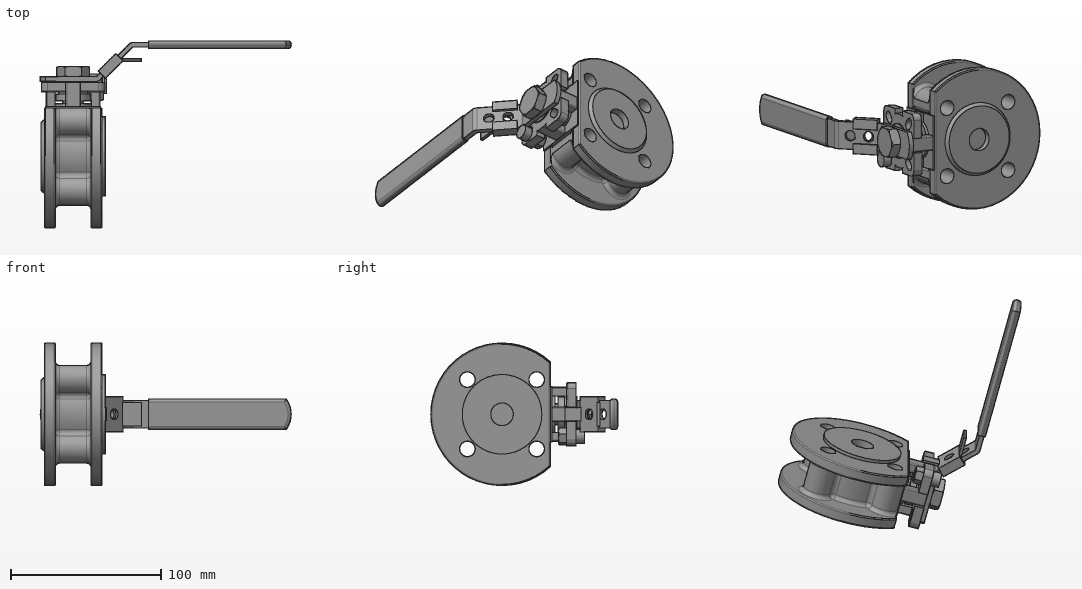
import cadquery as cq
import math


flange_radius = 47.4
flange_inner_x = 11.9
flange_outer_x = 19.2
flange_edge_fillet = 0.8
flat_y = 32.2
face_x = 21.4
front_face_diameter = 49.2
front_face_rim_diameter = 45.4
back_face_diameter = 53.0
bore_diameter = 15.0
bore_depth = 5.0
bolt_offset = 23.0
bolt_hole_diameter = 10.2
lug_radius = 9.5
body_radius = 27.5
lug_fillet = 3.3
root_fillet = 2.8

pad_half_size = 18.4
pad_top_y = 33.2
pad_root_y = 16.7
rib_outer = 18.0
rib_thickness = 6.0
rib_width = 9.8
rib_edge_fillet = 0.8
plate_bottom_y = 42.9
plate_top_y = 49.2
plate_size = 42.0
plate_corner_radius = 4.0
plate_edge_fillet = 0.8
slot_width = 6.0
slot_inner_offset = 12.7
slot_outer_offset = 14.7

gland_diameter = 26.0
gland_top_y = 35.2
stem_diameter = 14.0
collar_diameter = 23.4
collar_bottom_y = 37.0
collar_top_y = 41.4
gland_nut_flats = 19.4
stem_nut_flats = 19.0
stem_nut_height = 6.8
nut_chamfer_height = 0.7

screw_head_diameter = 9.7
screw_head_top_y = 55.0
screw_nut_flats = 10.0
screw_nut_bottom_y = 37.4
screw_nut_turn = -15.0

lever_bottom_y = 49.9
lever_thickness = 3.2
lever_width = 18.5
lever_end_x = -21.9
lever_end_sagitta = 3.3
lever_rise = 22.9
bend_x = 16.2
bend_inner_radius = 1.0
grip_start_x = 50.2
grip_end_x = 145.0
grip_width = 20.5
grip_thickness = 5.2
grip_end_sagitta = 3.5
grip_edge_fillet = 2.2

sleeve_distance = 12.4
sleeve_length = 16.5
sleeve_thickness = 6.8
sleeve_width = 23.5
sleeve_slot_width = 10.0
lock_hole_diameter = 7.0
lever_hole_distances = (10.4, 23.2)
thumb_tab_end_x = 45.4
thumb_tab_bottom_y = 63.3
thumb_tab_thickness = 1.8
thumb_tab_width = 15.7
lock_tab_x = 20.5
lock_tab_thickness = 1.7
lock_tab_bottom_y = 41.7
lock_tab_width = 8.8

lever_top_y = lever_bottom_y + lever_thickness
lever_mid_y = lever_bottom_y + lever_thickness / 2
grip_mid_y = lever_mid_y + lever_rise
selection_margin = 0.2
bolt_points = [(y, z) for y in (-bolt_offset, bolt_offset) for z in (-bolt_offset, bolt_offset)]


def block(x0, x1, y0, y1, width):
    """Box between two X and two Y limits, centred on Z = 0."""
    box = cq.Workplane("XY").box(x1 - x0, y1 - y0, width)
    return box.translate(((x0 + x1) / 2, (y0 + y1) / 2, 0))


def along_x(x0):
    return cq.Workplane("YZ", origin=(x0, 0, 0))


def along_y(y0):
    """Plane at height y0; a negative extrusion goes up in Y."""
    return cq.Workplane("XZ", origin=(0, y0, 0))


def disc(diameter, y0, y1):
    return along_y(y0).circle(diameter / 2).extrude(y0 - y1)


def hexagon(flats, y0, y1, turn=0):
    corners = flats / math.cos(math.radians(30))
    return along_y(y0).polygon(6, corners).extrude(y0 - y1).rotate((0, 0, 0), (0, 1, 0), turn)


def nut_envelope(flats, y0, y1, chamfer_bottom, chamfer_top):
    """Round envelope that takes the corners off a hexagon nut."""
    corner_radius = flats / 2 / math.cos(math.radians(30))
    run = nut_chamfer_height * math.sqrt(3)
    envelope = along_y(y0).circle(corner_radius).extrude(y0 - y1)
    if chamfer_bottom:
        envelope = envelope.faces("<Y").chamfer(nut_chamfer_height, run)
    if chamfer_top:
        envelope = envelope.faces(">Y").chamfer(nut_chamfer_height, run)
    return envelope


def flange_blank(x0, x1):
    above_flat = block(x0 - 1.7, x1 + 1.7, flat_y, 2 * flange_radius, 3 * flange_radius)
    blank = along_x(x0).circle(flange_radius).extrude(x1 - x0).cut(above_flat)
    return blank.faces("<X or >X").edges().fillet(flange_edge_fillet)


def make_body():
    gap = 2 * flange_inner_x
    thickness = flange_outer_x - flange_inner_x

    core = along_x(-flange_inner_x).circle(body_radius).extrude(gap)
    lugs = along_x(-flange_inner_x).pushPoints(bolt_points).circle(lug_radius).extrude(gap)
    core = core.union(lugs).edges("|X").fillet(lug_fillet)
    for x0 in (-flange_outer_x, flange_inner_x):
        core = core.union(along_x(x0).circle(flange_radius).extrude(thickness))
    root_reach = flange_radius - selection_margin
    for x in (-flange_inner_x, flange_inner_x):
        roots = cq.selectors.BoxSelector(
            (x - selection_margin, -root_reach, -root_reach),
            (x + selection_margin, root_reach, root_reach),
            boundingbox=True)
        core = core.edges(roots).fillet(root_fillet)

    envelope = block(-flange_inner_x, flange_inner_x, -flange_radius, flat_y, 2 * flange_radius)
    envelope = envelope.union(flange_blank(-flange_outer_x, -flange_inner_x))
    envelope = envelope.union(flange_blank(flange_inner_x, flange_outer_x))
    body = core.intersect(envelope)

    face_height = face_x - flange_outer_x
    body = body.union(
        along_x(-flange_outer_x).circle(front_face_diameter / 2)
        .workplane(offset=-face_height).circle(front_face_rim_diameter / 2).loft())
    body = body.union(along_x(flange_outer_x).circle(back_face_diameter / 2).extrude(face_height))

    for x, depth in ((-face_x, bore_depth), (face_x, -bore_depth)):
        body = body.cut(along_x(x).circle(bore_diameter / 2).extrude(depth))
    return body


def make_bolt_holes():
    holes = along_x(-face_x).pushPoints(bolt_points).circle(bolt_hole_diameter / 2)
    return holes.extrude(2 * face_x)


def make_bracket():
    pad = block(-pad_half_size, pad_half_size, pad_root_y, pad_top_y, 2 * pad_half_size)
    plate = block(-plate_size / 2, plate_size / 2, plate_bottom_y, plate_top_y, plate_size)
    plate = plate.edges("|Y").fillet(plate_corner_radius)
    side_angles = (0, 90, 180, 270)
    corner_turn = 45
    slot_middle = (slot_inner_offset + slot_outer_offset) / 2 * math.sqrt(2)
    slot_length = (slot_outer_offset - slot_inner_offset) * math.sqrt(2) + slot_width
    notch = block(rib_outer - rib_edge_fillet, plate_size, plate_bottom_y, plate_top_y, rib_width)
    slot = along_y(plate_bottom_y).center(slot_middle, 0).slot2D(slot_length, slot_width)
    slot = slot.extrude(plate_bottom_y - plate_top_y)
    rib = block(rib_outer - rib_thickness, rib_outer, flat_y, plate_top_y, rib_width)
    rib = rib.faces(">X").edges("|Y").fillet(rib_edge_fillet)

    for angle in side_angles:
        plate = plate.cut(notch.rotate((0, 0, 0), (0, 1, 0), angle))

    rim_zone = cq.selectors.BoxSelector(
        (-plate_size, plate_bottom_y - selection_margin, rib_width / 2 - selection_margin),
        (plate_size, plate_bottom_y + selection_margin, plate_size))
    plate = plate.edges(rim_zone).fillet(plate_edge_fillet)

    bracket = pad.union(plate)
    for angle in side_angles:
        bracket = bracket.cut(slot.rotate((0, 0, 0), (0, 1, 0), angle + corner_turn))
        bracket = bracket.union(rib.rotate((0, 0, 0), (0, 1, 0), angle))
    return bracket


def make_stem():
    stem = disc(stem_diameter, flat_y, lever_top_y)
    stem = stem.union(disc(gland_diameter, flat_y, gland_top_y))
    stem = stem.union(disc(collar_diameter, collar_bottom_y, collar_top_y))
    stem = stem.union(hexagon(gland_nut_flats, collar_top_y, plate_bottom_y, 90))
    stem = stem.union(disc(collar_diameter, plate_top_y, lever_bottom_y))
    nut_top_y = lever_top_y + stem_nut_height
    nut = hexagon(stem_nut_flats, lever_top_y, nut_top_y)
    return stem.union(nut.intersect(nut_envelope(stem_nut_flats, lever_top_y, nut_top_y, True, True)))


def make_stop_screw():
    nut = hexagon(screw_nut_flats, screw_nut_bottom_y, plate_bottom_y, screw_nut_turn)
    nut = nut.intersect(nut_envelope(screw_nut_flats, screw_nut_bottom_y, plate_bottom_y, True, False))
    screw = disc(screw_head_diameter, plate_top_y, screw_head_top_y)
    screw = screw.union(disc(slot_width, plate_bottom_y, plate_top_y)).union(nut)
    return screw.translate((slot_outer_offset, 0, -slot_outer_offset))


def on_slope(shape, distance):
    """Move a shape made at the origin onto the 45 degree stretch, measured from the first bend."""
    run = distance / math.sqrt(2)
    return shape.rotate((0, 0, 0), (0, 0, 1), 45).translate((bend_x + run, lever_mid_y + run, 0))


def lock_hole(distance):
    drill = disc(lock_hole_diameter, -sleeve_thickness / 2, sleeve_thickness / 2)
    return on_slope(drill, distance)


def make_lever():
    half_width = lever_width / 2
    miter = lever_thickness * math.tan(math.radians(22.5))
    strip = (
        cq.Workplane("XY")
        .moveTo(lever_end_x, lever_bottom_y)
        .lineTo(bend_x + miter / 2, lever_bottom_y)
        .line(lever_rise, lever_rise)
        .lineTo(grip_start_x + 1.7, lever_bottom_y + lever_rise)
        .line(0, lever_thickness)
        .lineTo(bend_x + lever_rise - miter / 2, lever_top_y + lever_rise)
        .line(-lever_rise, -lever_rise)
        .lineTo(lever_end_x, lever_top_y)
        .close().extrude(half_width, both=True))
    bend_outer_radius = bend_inner_radius + lever_thickness
    inner_corners = (
        (bend_x - miter / 2, lever_top_y),
        (bend_x + lever_rise + miter / 2, lever_bottom_y + lever_rise))
    outer_corners = (
        (bend_x + miter / 2, lever_bottom_y),
        (bend_x + lever_rise - miter / 2, lever_top_y + lever_rise))
    for x, y in inner_corners:
        strip = strip.edges(cq.NearestToPointSelector((x, y, 0))).fillet(bend_inner_radius)
    for x, y in outer_corners:
        strip = strip.edges(cq.NearestToPointSelector((x, y, 0))).fillet(bend_outer_radius)
    tail = (
        along_y(lever_bottom_y)
        .moveTo(lever_end_x + lever_end_sagitta, -half_width)
        .threePointArc((lever_end_x, 0), (lever_end_x + lever_end_sagitta, half_width))
        .lineTo(2 * grip_start_x, half_width)
        .lineTo(2 * grip_start_x, -half_width)
        .close().extrude(-2 * lever_rise))
    lever = strip.intersect(tail)

    for distance in lever_hole_distances:
        lever = lever.cut(lock_hole(distance))
    return lever


def make_grip():
    half_width = grip_width / 2
    corner_x = grip_end_x - grip_end_sagitta
    bottom_y = grip_mid_y - grip_thickness / 2
    grip = (
        along_y(bottom_y)
        .moveTo(grip_start_x, -half_width)
        .lineTo(corner_x, -half_width)
        .threePointArc((grip_end_x, 0), (corner_x, half_width))
        .lineTo(grip_start_x, half_width)
        .close().extrude(-grip_thickness))
    return grip.faces("<Y or >Y").edges("not <X").fillet(grip_edge_fillet)


def make_sleeve():
    half_length = sleeve_length / 2
    half_thickness = sleeve_thickness / 2
    sleeve = block(-half_length, half_length, -half_thickness, half_thickness, sleeve_width)
    slot = block(-half_length, half_length, lever_thickness / 2, half_thickness, sleeve_slot_width)
    passage = block(
        -half_length, half_length, -lever_thickness / 2, lever_thickness / 2, lever_width)
    sleeve = on_slope(sleeve.cut(slot).cut(passage), sleeve_distance)
    sleeve = sleeve.cut(lock_hole(sleeve_distance))

    slope_x = bend_x + sleeve_distance / math.sqrt(2)
    thumb_tab = block(
        slope_x + half_length / 2, thumb_tab_end_x,
        thumb_tab_bottom_y, thumb_tab_bottom_y + thumb_tab_thickness, thumb_tab_width)
    lock_tab = block(
        lock_tab_x, lock_tab_x + lock_tab_thickness,
        lock_tab_bottom_y, lever_top_y + lock_tab_thickness, lock_tab_width)
    return sleeve.union(thumb_tab).union(lock_tab)


valve = make_body().union(make_bracket()).union(make_stem()).union(make_stop_screw())
handle = make_lever().union(make_grip()).union(make_sleeve())
result = valve.union(handle).cut(make_bolt_holes())